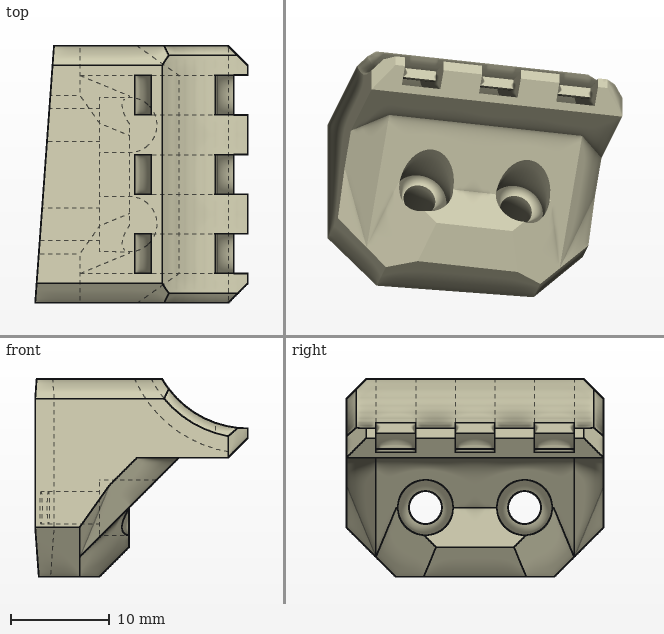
import cadquery as cq

length = 21.5
width = 26.0
height = 20.0
mid_y = width / 2

top_corner = 2.0
bottom_corner = 5.0
back_taper = 1.9

saddle_radius = 10.0
saddle_bottom_z = 15.0
saddle_edge_chamfer = 1.0
arm_bottom_z = 12.0
tip_chamfer = 2.0

block_x = 9.5
block_bottom_chamfer = 3.0
corner_bevel_start_x = 4.5
gusset_end_x = 14.5
gusset_side_chamfer = 3.0

slot_width = 4.0
slot_pitch = 8.0
slot_count = 3
slot_inner_radius = 11.0
slot_outer_radius = 12.5
notch_x = 18.2
notch_floor_z = 12.9

hole_diameter = 3.3
head_diameter = 5.6
head_seat_x = 6.5
hole_pitch = 10.0
hole_z = 7.0

saddle_x = length
saddle_z = saddle_bottom_z + saddle_radius


def prism_along_y(points, y_start=0.0, y_length=width):
    """Extrude an XZ outline towards +Y."""
    return (
        cq.Workplane("XZ", origin=(0, y_start, 0))
        .polyline(points)
        .close()
        .extrude(-y_length)
    )


def cylinder_along_y(radius, y_start, y_length):
    """Cylinder on the saddle axis."""
    return (
        cq.Workplane("XZ", origin=(saddle_x, y_start, saddle_z))
        .circle(radius)
        .extrude(-y_length)
    )


def both_sides(shape):
    """Join a shape with its mirror image about the middle of the width."""
    return shape.union(shape.mirror("XZ", (0, mid_y, 0)))


def make_cross_section():
    """Full-length bar with its four long corners cut at 45 degrees."""
    return (
        cq.Workplane("YZ")
        .moveTo(bottom_corner, 0)
        .lineTo(width - bottom_corner, 0)
        .lineTo(width, bottom_corner)
        .lineTo(width, height - top_corner)
        .lineTo(width - top_corner, height)
        .lineTo(top_corner, height)
        .lineTo(0, height - top_corner)
        .lineTo(0, bottom_corner)
        .close()
        .extrude(length)
    )


def make_screw_block():
    block = prism_along_y([
        (0, 0),
        (block_x - block_bottom_chamfer, 0),
        (block_x, block_bottom_chamfer),
        (block_x, height),
        (0, height),
    ])
    corner_plane = cq.Plane(origin=(0, 0, bottom_corner), xDir=(1, 0, 0), normal=(0, 1, -1))
    bevel = block_x - corner_bevel_start_x
    bevel_cutter = (
        cq.Workplane(corner_plane)
        .moveTo(corner_bevel_start_x, 0)
        .lineTo(block_x, -bevel)
        .lineTo(block_x + bevel, -bevel)
        .lineTo(block_x + bevel, bevel)
        .lineTo(corner_bevel_start_x + bevel, bevel)
        .close()
        .extrude(width, both=True)
    )
    return block.cut(both_sides(bevel_cutter))


def make_arm():
    arm = prism_along_y([
        (0, arm_bottom_z),
        (length - tip_chamfer, arm_bottom_z),
        (length, arm_bottom_z + tip_chamfer),
        (length, height),
        (0, height),
    ])
    tip_corner = (
        cq.Workplane("XY")
        .moveTo(length - tip_chamfer, 0)
        .lineTo(length, 0)
        .lineTo(length, tip_chamfer)
        .close()
        .extrude(height)
    )
    return arm.cut(both_sides(tip_corner))


def make_gusset():
    """45 degree web under the arm, chamfered along both sloping edges."""
    drop = gusset_end_x - corner_bevel_start_x
    gusset = prism_along_y([
        (corner_bevel_start_x, arm_bottom_z - drop),
        (gusset_end_x, arm_bottom_z),
        (corner_bevel_start_x, arm_bottom_z),
    ])
    slope = cq.selectors.ParallelDirSelector(cq.Vector(1, 0, 1))
    return gusset.edges(slope).chamfer(gusset_side_chamfer)


def make_saddle_cutter():
    """Round channel along Y, flared by a chamfer at each side."""
    flare = cq.Workplane(
        cq.Solid.makeCone(
            saddle_radius + saddle_edge_chamfer,
            saddle_radius,
            saddle_edge_chamfer,
            cq.Vector(saddle_x, 0, saddle_z),
            cq.Vector(0, 1, 0),
        )
    )
    return cylinder_along_y(saddle_radius, 0, width).union(both_sides(flare))


def make_slot_cutter(y_center):
    """Curved slot around the saddle, opened into a notch between the fingers."""
    y_start = y_center - slot_width / 2
    ring = cylinder_along_y(slot_outer_radius, y_start, slot_width).cut(
        cylinder_along_y(slot_inner_radius, y_start, slot_width)
    )
    notch = prism_along_y(
        [(notch_x, notch_floor_z), (length, notch_floor_z), (length, height), (notch_x, height)],
        y_start,
        slot_width,
    )
    return ring.union(notch)


def make_screw_cutter(y_center):
    """Screw hole along X with a head recess open towards +X."""
    hole_plane = cq.Workplane("YZ", origin=(0, y_center, hole_z))
    hole = hole_plane.circle(hole_diameter / 2).extrude(length)
    head = hole_plane.workplane(offset=head_seat_x).circle(head_diameter / 2).extrude(length)
    return hole.union(head)


def make_taper_cutter():
    """Wedge that leans the mounting face."""
    return cq.Workplane("XY").polyline([(0, 0), (back_taper, width), (0, width)]).close().extrude(height)


body = make_screw_block().union(make_gusset()).union(make_arm())
body = body.intersect(make_cross_section())
body = body.cut(make_saddle_cutter())
for index in range(slot_count):
    slot_y = mid_y + (index - (slot_count - 1) / 2) * slot_pitch
    body = body.cut(make_slot_cutter(slot_y))
for side in (-1, 1):
    body = body.cut(make_screw_cutter(mid_y + side * hole_pitch / 2))
result = body.cut(make_taper_cutter())